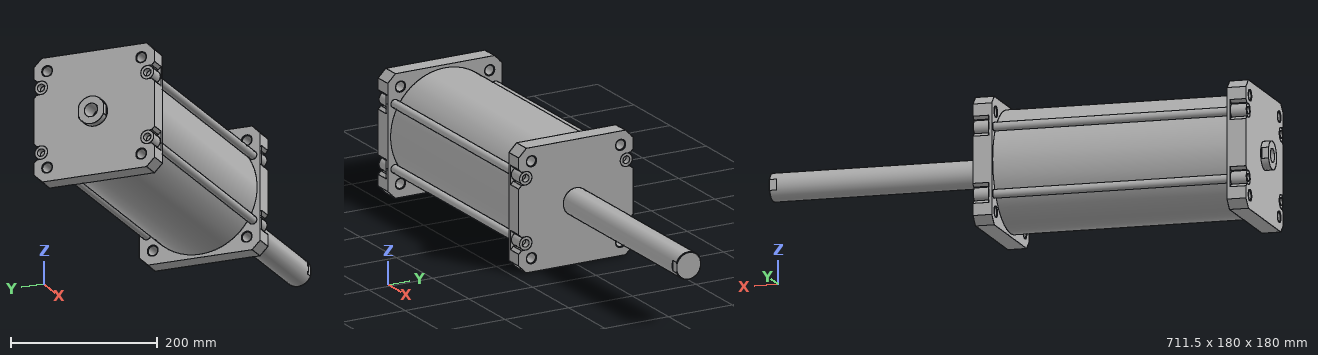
import cadquery as cq
import math

total_length = 711.5
plate_size = 180.0
plate_thickness = 27.0
plate_corner_chamfer = 12.0
barrel_length = 335.0
barrel_diameter = 171.0

rod_diameter = 40.0
rod_rear_stub = 11.0
rod_across_flats = 37.0
stub_flat_length = 9.5
tip_flat_length = 11.0
rod_end_chamfer = 1.0
rod_port_diameter = 19.5
rod_port_depth = 30.0
drill_point_angle = 118.0

mount_hole_spacing = 140.0
mount_hole_diameter = 14.0
mount_hole_chamfer = 1.0

tie_rod_diameter = 12.0
tie_rod_spacing_y = 158.0
tie_rod_spacing_z = 94.0
tie_head_diameter = 19.3
tie_head_length = 22.5
tie_socket_diameter = 10.7
tie_socket_depth = 10.0
pocket_mouth_width = 28.0
pocket_mouth_depth = (pocket_mouth_width - tie_head_diameter) / 2

rear_plate_start = rod_rear_stub
rear_plate_end = rear_plate_start + plate_thickness
front_plate_start = rear_plate_end + barrel_length
front_plate_end = front_plate_start + plate_thickness

half_plate = plate_size / 2
tie_y = tie_rod_spacing_y / 2
tie_z = tie_rod_spacing_z / 2
tie_centres = [(y, z) for y in (-tie_y, tie_y) for z in (-tie_z, tie_z)]


def section_at(x):
    """Sketch plane facing +X whose local axes are Y and Z."""
    return cq.Workplane("YZ", origin=(x, 0, 0))


def head_pocket(x, y, z):
    """Round-ended slot for one tie rod head, open to the plate edge with a flared mouth."""
    side = 1 if y > 0 else -1
    half_width = tie_head_diameter / 2
    half_mouth = pocket_mouth_width / 2
    edge = side * half_plate
    flare_start = edge - side * pocket_mouth_depth
    return (
        section_at(x)
        .moveTo(y, z + half_width)
        .lineTo(flare_start, z + half_width)
        .lineTo(edge, z + half_mouth)
        .lineTo(edge, z - half_mouth)
        .lineTo(flare_start, z - half_width)
        .lineTo(y, z - half_width)
        .threePointArc((y - side * half_width, z), (y, z + half_width))
        .close()
        .extrude(tie_head_length)
    )


def end_plate(start, pocket_start):
    """Square end plate with its head pockets starting at pocket_start."""
    plate = (
        section_at(start)
        .rect(plate_size, plate_size)
        .extrude(plate_thickness)
        .edges("|X")
        .chamfer(plate_corner_chamfer)
    )
    mount_holes = (
        section_at(start)
        .rect(mount_hole_spacing, mount_hole_spacing, forConstruction=True)
        .vertices()
        .circle(mount_hole_diameter / 2)
        .extrude(plate_thickness)
    )
    tie_holes = (
        section_at(start)
        .pushPoints(tie_centres)
        .circle(tie_rod_diameter / 2)
        .extrude(plate_thickness)
    )
    rod_hole = section_at(start).circle(rod_diameter / 2).extrude(plate_thickness)
    plate = plate.cut(mount_holes)
    plate = plate.edges(cq.selectors.RadiusNthSelector(0)).chamfer(mount_hole_chamfer)
    plate = plate.cut(tie_holes).cut(rod_hole)
    for y, z in tie_centres:
        plate = plate.cut(head_pocket(pocket_start, y, z))
    return plate


def make_barrel():
    """Round barrel between the plates, bored to fit the piston rod."""
    return (
        section_at(rear_plate_end)
        .circle(barrel_diameter / 2)
        .circle(rod_diameter / 2)
        .extrude(barrel_length)
    )


def make_tie_rod(y, z):
    """Tie rod with a socketed round head at each end, flush with the outer plate faces."""

    def cylinder(x, diameter, length):
        return section_at(x).center(y, z).circle(diameter / 2).extrude(length)

    tie_rod = cylinder(rear_plate_start, tie_rod_diameter, front_plate_end - rear_plate_start)
    for end, inward in ((rear_plate_start, 1), (front_plate_end, -1)):
        head = cylinder(end, tie_head_diameter, inward * tie_head_length)
        socket = cylinder(end, tie_socket_diameter, inward * tie_socket_depth)
        tie_rod = tie_rod.union(head).cut(socket)
    return tie_rod


def flat_cutters(start, length):
    """Two blocks that leave wrench flats facing +Y and -Y."""
    block_depth = rod_diameter
    block_centre = (rod_across_flats + block_depth) / 2
    return (
        section_at(start)
        .pushPoints([(-block_centre, 0), (block_centre, 0)])
        .rect(block_depth, plate_size)
        .extrude(length)
    )


def make_piston_rod():
    """Piston rod through the whole cylinder, with wrench flats at both ends and a rear drilled hole."""
    rod = section_at(0).circle(rod_diameter / 2).extrude(total_length)
    rod = rod.faces(">X").chamfer(rod_end_chamfer)
    rod = rod.cut(flat_cutters(0, stub_flat_length))
    rod = rod.cut(flat_cutters(total_length - tip_flat_length, tip_flat_length))
    port_radius = rod_port_diameter / 2
    point_depth = port_radius / math.tan(math.radians(drill_point_angle / 2))
    port = (
        cq.Workplane("XY")
        .polyline([
            (0, 0),
            (0, port_radius),
            (rod_port_depth, port_radius),
            (rod_port_depth + point_depth, 0),
        ])
        .close()
        .revolve(360, (0, 0, 0), (1, 0, 0))
    )
    return rod.cut(port)


rear_plate = end_plate(rear_plate_start, rear_plate_start)
front_plate = end_plate(front_plate_start, front_plate_end - tie_head_length)
barrel = make_barrel()
piston_rod = make_piston_rod()
tie_rods = [make_tie_rod(y, z) for y, z in tie_centres]

result = cq.Compound.makeCompound([
    rear_plate.val(),
    front_plate.val(),
    barrel.val(),
    piston_rod.val(),
    *[tie_rod.val() for tie_rod in tie_rods],
])